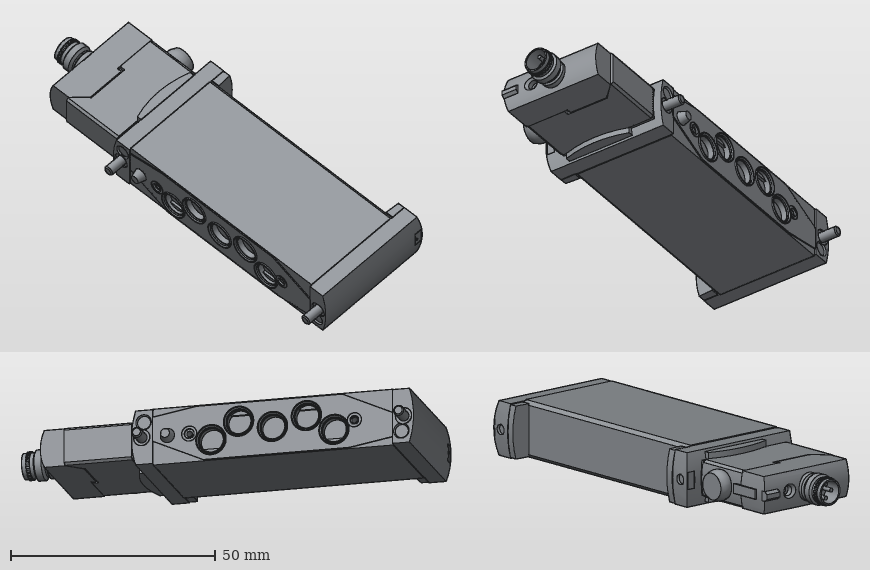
import cadquery as cq
import math


HOUSING_LEFT = 36.8
HOUSING_RIGHT = 97.8
HOUSING_HEIGHT = 14.4
HOUSING_HALF_Z = HOUSING_HEIGHT / 2
HOUSING_BOTTOM = 0.5
HOUSING_TOP = 29.5
HOUSING_CHAMFER = 0.9
MIDDLE_X = (HOUSING_LEFT + HOUSING_RIGHT) / 2

CAP_HALF_Z = 6.9
CAP_EDGE_WIDTH = 4.3
CAP_WIDTH = 5.4
CAP_EDGE_TOP = 33.6
CAP_TOP = 34.4
CAP_LEFT = HOUSING_LEFT - CAP_WIDTH
HOOK_HALF_Z = 6.7
HOOK_BOTTOM = HOUSING_TOP
HOOK_TOP = 34.6
HOOK_TOP_REACH = 2.0
HOOK_BOTTOM_REACH = 2.3
FACE_RECESS_DEPTH = 0.2
FACE_RECESS_BOTTOM = 31.9
FACE_RECESS_TOP = 34.1
FACE_RECESS_HALF_Z = 2.2
STOP_DIAMETER = 0.6
STOP_Y = 32.3
STOP_END = 103.2

SCREW_SPACING = 66.6
SCREW_OFFSET_X = SCREW_SPACING / 2
SCREW_DIAMETER = 2.6
SCREW_TIP = -4.6
SCREW_END = CAP_EDGE_TOP
SCREW_CHAMFER = 0.3
SCREW_RECESS_DIAMETER = 4.1
CAP_POCKET_DIAMETER = 3.9
CAP_POCKET_FLOOR_DIAMETER = 3.3
CAP_POCKET_X = 34.5
CAP_POCKET_Z = 3.8
CAP_POCKET_DEPTH = 0.4

COIL_HALF_Z = 4.7
COIL_BOTTOM = 1.9
COIL_EDGE_TOP = 29.5
COIL_TOP = 30.1
COIL_CHAMFER = 0.6
COIL_LEFT = 13.7
COIL_RIGHT = 30.9
NECK_INSET = 0.3

BOX_BOTTOM = 2.7
BOX_EDGE_LEFT = 8.5
BOX_LEFT = 7.4
PARTING_X = 16.3
STEP_X = 17.6
STEP_Y = 17.3
SLOPE_TOP_Y = 6.5
GAP = 0.3
STEP_GAP = 0.9
GROOVE_DEPTH = 0.9

LUG_HALF_Z = 6.3
LUG_BOTTOM = 9.1
LUG_TOP = 27.9
LUG_CREST_X = 29.3

BUTTON_X = 23.5
BUTTON_TOP = 33.2
BUTTON_ROOT = 28.5
BUTTON_BELLY_BOTTOM = 29.6
BUTTON_BELLY_TOP = 32.6
BUTTON_DIAMETER = 8.0
BUTTON_END_DIAMETER = 7.1
BUTTON_TIP_DIAMETER = 6.7

BAR_HALF_Z = 1.2
BAR_RIDGE_HALF_Z = 0.6
FRONT_BAR_X = 6.6
FRONT_BAR_BOTTOM = 25.9
BACK_BAR_LEFT = 10.5
BACK_BAR_RIGHT = 18.5
BACK_BAR_BOTTOM = 29.9
BACK_BAR_TOP = 30.6

LAMP_Y = 22.0
LAMP_DIAMETER = 3.9
LAMP_HOLE_DIAMETER = 2.5
LAMP_CONE_DEPTH = 0.7
LAMP_HOLE_DEPTH = 2.1
LAMP_PILOT_DIAMETER = 1.0
LAMP_PILOT_DEPTH = 3.1

PLUG_Y = 15.4
PLUG_DIAMETER = 6.5
PLUG_RING_DIAMETER = 7.1
PLUG_COLLAR_DIAMETER = 7.7
PLUG_NECK_DIAMETER = 6.2
PLUG_BORE_DIAMETER = 5.7
PLUG_BORE_DEPTH = 4.6
PLUG_ROOT = 8.8
COLLAR_FOOT = 3.0
COLLAR_START = 3.4
COLLAR_END = 5.2
NECK_START = 5.8
NECK_END = 6.2
ROOT_START = 6.6
KNURL_START = 1.1
KNURL_END = 2.1
KNURL_COUNT = 24
KNURL_SLOT = 0.4
CONTACT_DIAMETER = 1.0
CONTACT_CIRCLE_RADIUS = 1.8
CONTACT_TIP = 1.5
CONTACT_EMBEDDING = 1.0
CONTACT_ANGLES = (90, 180, 270)

SEAL_FACE = 0.2
SEAL_HALF_Z = 6.9
SEAL_END_LOW_Z = -1.1
SEAL_END_HIGH_Z = 5.1
SEAL_EDGE_LEFT = 47.7
SEAL_EDGE_RIGHT = 85.0
SMALL_LIP_FACE = 0.0
PORT_LIP_FACE = -0.2
PORT_LIP_DIAMETER = 7.6
PORT_LIP_BEVEL = 0.3
PORT_SEAL_DIAMETER = 6.5
PORT_DIAMETER = 6.0
PORT_DEPTH = 1.5
PORT_LEDGE_DEPTH = 0.8
PORT_LEDGE_OFFSET = 2.0
OUTER_PORT_SPACING = 31.3
INNER_PORT_SPACING = 17.2
OUTER_PORT_X = OUTER_PORT_SPACING / 2
INNER_PORT_X = INNER_PORT_SPACING / 2
PORT_Z = 2.1
PORTS = [
    (MIDDLE_X - OUTER_PORT_X, -PORT_Z, -1),
    (MIDDLE_X - INNER_PORT_X, PORT_Z, 1),
    (MIDDLE_X, 0, 0),
    (MIDDLE_X + INNER_PORT_X, PORT_Z, 1),
    (MIDDLE_X + OUTER_PORT_X, -PORT_Z, -1),
]
PILOT_HOLES = [
    (46.0, 3.8, 2.5, 1.4),
    (88.1, 3.6, 2.2, 1.5),
]
PILOT_DEPTH = 3.1

LOCATOR_X = 40.5
LOCATOR_BASE_DIAMETER = 3.6
LOCATOR_TIP_DIAMETER = 2.3
LOCATOR_TIP = -2.0


def box_between(x0, x1, y0, y1, z0, z1):
    """Rectangular block given by its limits on each axis."""
    return cq.Workplane("XY").box(x1 - x0, y1 - y0, z1 - z0, centered=False).translate((x0, y0, z0))


def plate(outline, half_z):
    """Outline in X and Y, extruded equally to both sides of the middle plane."""
    return cq.Workplane("XY").polyline(outline).close().extrude(half_z, both=True)


def rod_y(x, z, diameter, y0, y1):
    """Cylinder along Y between two heights."""
    return cq.Workplane("XZ", origin=(x, y0, z)).circle(diameter / 2).extrude(y0 - y1)


def rod_x(y, z, diameter, x0, x1):
    """Cylinder along X between two positions."""
    return cq.Workplane("YZ", origin=(x0, y, z)).circle(diameter / 2).extrude(x1 - x0)


def turned_y(x, profile):
    """Solid of revolution about a line along Y; the profile lists (radius, Y)."""
    axis_points = [(0, profile[0][1]), *profile, (0, profile[-1][1])]
    turned = cq.Workplane("XY").polyline(axis_points).close().revolve(360, (0, 0, 0), (0, 1, 0))
    return turned.translate((x, 0, 0))


def turned_x(y, profile):
    """Solid of revolution about a line along X; the profile lists (X, radius)."""
    axis_points = [(profile[0][0], 0), *profile, (profile[-1][0], 0)]
    turned = cq.Workplane("XY").polyline(axis_points).close().revolve(360, (0, 0, 0), (1, 0, 0))
    return turned.translate((0, y, 0))


def domed_section(half_z, bottom, edge_top, top, x0, x1):
    """Bar along X whose back face is an arc that rises from edge_top to top."""
    return (
        cq.Workplane("YZ", origin=(x0, 0, 0))
        .moveTo(bottom, -half_z)
        .lineTo(edge_top, -half_z)
        .threePointArc((top, 0), (edge_top, half_z))
        .lineTo(bottom, half_z)
        .close()
        .extrude(x1 - x0)
    )


def arc_ended_block(edge_left, left, right, half_z, y0, y1):
    """Block along Y whose left face is an arc that bulges from edge_left to left."""
    return (
        cq.Workplane("XZ", origin=(0, y0, 0))
        .moveTo(right, -half_z)
        .lineTo(edge_left, -half_z)
        .threePointArc((left, 0), (edge_left, half_z))
        .lineTo(right, half_z)
        .close()
        .extrude(y0 - y1)
    )


def half_turn(shape):
    """The shape turned half a revolution about the upright middle line of the housing."""
    return shape.rotate((MIDDLE_X, 0, 0), (MIDDLE_X, 1, 0), 180)


def make_housing():
    housing = box_between(
        HOUSING_LEFT, HOUSING_RIGHT, HOUSING_BOTTOM, HOUSING_TOP, -HOUSING_HALF_Z, HOUSING_HALF_Z
    )
    housing = housing.faces(">Y").edges("|X").chamfer(HOUSING_CHAMFER)
    for x, z, ledge_side in PORTS:
        bore = rod_y(x, z, PORT_DIAMETER, HOUSING_BOTTOM, HOUSING_BOTTOM + PORT_DEPTH)
        if ledge_side:
            ledge_z = z + ledge_side * PORT_LEDGE_OFFSET
            rim_z = z + ledge_side * PORT_DIAMETER
            ledge = box_between(
                x - PORT_DIAMETER,
                x + PORT_DIAMETER,
                HOUSING_BOTTOM + PORT_LEDGE_DEPTH,
                HOUSING_BOTTOM + PORT_DEPTH,
                min(ledge_z, rim_z),
                max(ledge_z, rim_z),
            )
            bore = bore.cut(ledge)
        housing = housing.cut(bore)
    for x, _, _, diameter in PILOT_HOLES:
        housing = housing.cut(rod_y(x, 0, diameter, HOUSING_BOTTOM, HOUSING_BOTTOM + PILOT_DEPTH))
    locator = turned_y(
        LOCATOR_X,
        [
            (LOCATOR_BASE_DIAMETER / 2, HOUSING_BOTTOM),
            (LOCATOR_BASE_DIAMETER / 2, SEAL_FACE),
            (LOCATOR_TIP_DIAMETER / 2, LOCATOR_TIP),
        ],
    )
    return housing.union(locator)


def make_end_cap():
    """Left end cap with its back hook, face recess, screw hole and tapered pocket."""
    cap = arc_ended_block(
        HOUSING_LEFT - CAP_EDGE_WIDTH, CAP_LEFT, HOUSING_LEFT, CAP_HALF_Z, 0, CAP_TOP
    )
    cap = cap.intersect(domed_section(CAP_HALF_Z, 0, CAP_EDGE_TOP, CAP_TOP, CAP_LEFT, HOUSING_LEFT))
    hook = plate(
        [
            (HOUSING_LEFT, HOOK_BOTTOM),
            (HOUSING_LEFT + HOOK_BOTTOM_REACH, HOOK_BOTTOM),
            (HOUSING_LEFT + HOOK_TOP_REACH, HOOK_TOP),
            (HOUSING_LEFT, HOOK_TOP),
        ],
        HOOK_HALF_Z,
    )
    hook_dome = domed_section(
        CAP_HALF_Z, 0, CAP_EDGE_TOP, HOOK_TOP, HOUSING_LEFT, HOUSING_LEFT + HOOK_BOTTOM_REACH
    )
    face_recess = box_between(
        CAP_LEFT,
        CAP_LEFT + FACE_RECESS_DEPTH,
        FACE_RECESS_BOTTOM,
        FACE_RECESS_TOP,
        -FACE_RECESS_HALF_Z,
        FACE_RECESS_HALF_Z,
    )
    pocket = turned_y(
        CAP_POCKET_X,
        [(CAP_POCKET_DIAMETER / 2, 0), (CAP_POCKET_FLOOR_DIAMETER / 2, CAP_POCKET_DEPTH)],
    )
    screw_x = MIDDLE_X - SCREW_OFFSET_X
    return (
        cap.union(hook.intersect(hook_dome))
        .cut(rod_y(screw_x, 0, SCREW_DIAMETER, 0, CAP_TOP))
        .cut(rod_y(screw_x, 0, SCREW_RECESS_DIAMETER, 0, CAP_POCKET_DEPTH))
        .cut(face_recess)
        .cut(pocket.translate((0, 0, CAP_POCKET_Z)))
    )


def parting_line(gap, step_gap):
    """Points from the sloped lower end to the upper end of the coil's parting line.

    The gaps move the line away from the coil.
    """
    return [
        (COIL_LEFT, BOX_BOTTOM),
        (STEP_X + GAP - gap, SLOPE_TOP_Y),
        (STEP_X + GAP - gap, STEP_Y + STEP_GAP - step_gap),
        (PARTING_X, STEP_Y + STEP_GAP - step_gap),
        (PARTING_X, COIL_TOP),
    ]


def make_coil():
    outline = [
        (COIL_LEFT, COIL_BOTTOM),
        *parting_line(0, 0),
        (COIL_RIGHT, COIL_TOP),
        (COIL_RIGHT, COIL_BOTTOM),
    ]
    section = domed_section(
        COIL_HALF_Z, COIL_BOTTOM, COIL_EDGE_TOP, COIL_TOP, COIL_LEFT, COIL_RIGHT
    )
    section = section.edges("|X").chamfer(COIL_CHAMFER)
    neck = domed_section(
        COIL_HALF_Z - NECK_INSET,
        COIL_BOTTOM + NECK_INSET,
        COIL_EDGE_TOP - NECK_INSET,
        COIL_TOP - NECK_INSET,
        COIL_RIGHT,
        HOUSING_LEFT - CAP_EDGE_WIDTH,
    )
    return plate(outline, COIL_HALF_Z).intersect(section).union(neck)


def make_lug():
    """Plate in front of the left cap with a bowed outer edge."""
    return (
        cq.Workplane("XY", origin=(0, 0, -LUG_HALF_Z))
        .moveTo(HOUSING_LEFT - CAP_EDGE_WIDTH, LUG_BOTTOM)
        .lineTo(COIL_RIGHT, LUG_BOTTOM)
        .threePointArc((LUG_CREST_X, (LUG_BOTTOM + LUG_TOP) / 2), (COIL_RIGHT, LUG_TOP))
        .lineTo(HOUSING_LEFT - CAP_EDGE_WIDTH, LUG_TOP)
        .close()
        .extrude(2 * LUG_HALF_Z)
    )


def make_button():
    """Round barrel-shaped button on the back of the coil."""
    end_radius = BUTTON_END_DIAMETER / 2
    belly_y = (BUTTON_BELLY_BOTTOM + BUTTON_BELLY_TOP) / 2
    return (
        cq.Workplane("XY")
        .moveTo(0, BUTTON_ROOT)
        .lineTo(end_radius, BUTTON_ROOT)
        .lineTo(end_radius, BUTTON_BELLY_BOTTOM)
        .threePointArc((BUTTON_DIAMETER / 2, belly_y), (end_radius, BUTTON_BELLY_TOP))
        .lineTo(BUTTON_TIP_DIAMETER / 2, BUTTON_TOP)
        .lineTo(0, BUTTON_TOP)
        .close()
        .revolve(360, (0, 0, 0), (0, 1, 0))
        .translate((BUTTON_X, 0, 0))
    )


def make_back_bar():
    """Snap bar that runs from the back of the electrical box onto the coil."""
    return box_between(
        BACK_BAR_LEFT, BACK_BAR_RIGHT, BACK_BAR_BOTTOM, BACK_BAR_TOP, -BAR_HALF_Z, BAR_HALF_Z
    )


def make_valve():
    cap = make_end_cap()
    end_stop = rod_x(STOP_Y, 0, STOP_DIAMETER, HOUSING_RIGHT + CAP_EDGE_WIDTH, STOP_END)
    coil_end = make_coil().union(make_button()).union(make_lug())
    valve = make_housing().union(cap).union(half_turn(cap)).union(end_stop).union(coil_end)
    return valve.cut(make_back_bar())


def make_plug():
    """Round plug along X with a knurled ring, a collar and three contacts in its bore."""
    plug = turned_x(
        PLUG_Y,
        [
            (0, PLUG_DIAMETER / 2),
            (KNURL_START, PLUG_DIAMETER / 2),
            (KNURL_START, PLUG_RING_DIAMETER / 2),
            (KNURL_END, PLUG_RING_DIAMETER / 2),
            (KNURL_END, PLUG_DIAMETER / 2),
            (COLLAR_FOOT, PLUG_DIAMETER / 2),
            (COLLAR_START, PLUG_COLLAR_DIAMETER / 2),
            (COLLAR_END, PLUG_COLLAR_DIAMETER / 2),
            (NECK_START, PLUG_NECK_DIAMETER / 2),
            (NECK_END, PLUG_NECK_DIAMETER / 2),
            (ROOT_START, PLUG_RING_DIAMETER / 2),
            (PLUG_ROOT, PLUG_RING_DIAMETER / 2),
        ],
    )
    slot = box_between(
        KNURL_START,
        KNURL_END,
        PLUG_Y + PLUG_DIAMETER / 2,
        PLUG_Y + PLUG_COLLAR_DIAMETER / 2,
        -KNURL_SLOT / 2,
        KNURL_SLOT / 2,
    )
    for i in range(KNURL_COUNT):
        plug = plug.cut(slot.rotate((0, PLUG_Y, 0), (1, PLUG_Y, 0), i * 360 / KNURL_COUNT))
    plug = plug.cut(rod_x(PLUG_Y, 0, PLUG_BORE_DIAMETER, 0, PLUG_BORE_DEPTH))
    for angle in CONTACT_ANGLES:
        y = PLUG_Y + CONTACT_CIRCLE_RADIUS * math.cos(math.radians(angle))
        z = CONTACT_CIRCLE_RADIUS * math.sin(math.radians(angle))
        plug = plug.union(rod_x(y, z, CONTACT_DIAMETER, CONTACT_TIP, PLUG_BORE_DEPTH + CONTACT_EMBEDDING))
    return plug


def make_front_bar():
    """Ridge with sloped flanks on the outer face of the electrical box."""
    return (
        cq.Workplane("XZ", origin=(0, FRONT_BAR_BOTTOM, 0))
        .polyline(
            [
                (BOX_EDGE_LEFT, -BAR_HALF_Z),
                (BOX_LEFT, -BAR_HALF_Z),
                (FRONT_BAR_X, -BAR_RIDGE_HALF_Z),
                (FRONT_BAR_X, BAR_RIDGE_HALF_Z),
                (BOX_LEFT, BAR_HALF_Z),
                (BOX_EDGE_LEFT, BAR_HALF_Z),
            ]
        )
        .close()
        .extrude(FRONT_BAR_BOTTOM - COIL_TOP)
    )


def make_electrical_box():
    outer_edges = [(BOX_LEFT, COIL_TOP), (BOX_LEFT, BOX_BOTTOM)]
    core = plate(outer_edges + parting_line(0, 0), COIL_HALF_Z - GROOVE_DEPTH)
    shell = plate(outer_edges + parting_line(GAP, STEP_GAP), COIL_HALF_Z)
    box_right = STEP_X + GAP
    lamp_recess = turned_x(
        LAMP_Y,
        [
            (BOX_LEFT, LAMP_DIAMETER / 2),
            (BOX_LEFT + LAMP_CONE_DEPTH, LAMP_HOLE_DIAMETER / 2),
            (BOX_LEFT + LAMP_HOLE_DEPTH, LAMP_HOLE_DIAMETER / 2),
            (BOX_LEFT + LAMP_HOLE_DEPTH, LAMP_PILOT_DIAMETER / 2),
            (BOX_LEFT + LAMP_PILOT_DEPTH, LAMP_PILOT_DIAMETER / 2),
        ],
    )
    return (
        shell.union(core)
        .intersect(domed_section(COIL_HALF_Z, BOX_BOTTOM, COIL_EDGE_TOP, COIL_TOP, BOX_LEFT, box_right))
        .intersect(arc_ended_block(BOX_EDGE_LEFT, BOX_LEFT, box_right, COIL_HALF_Z, BOX_BOTTOM, COIL_TOP))
        .cut(lamp_recess)
        .union(make_front_bar())
        .union(make_back_bar())
        .union(make_plug())
    )


def make_seal():
    half_outline = [
        (HOUSING_LEFT, SEAL_END_LOW_Z),
        (HOUSING_LEFT, SEAL_END_HIGH_Z),
        (SEAL_EDGE_LEFT, SEAL_HALF_Z),
        (SEAL_EDGE_RIGHT, SEAL_HALF_Z),
    ]
    outline = half_outline + [(2 * MIDDLE_X - x, -z) for x, z in half_outline]
    seal = (
        cq.Workplane("XZ", origin=(0, HOUSING_BOTTOM, 0))
        .polyline(outline)
        .close()
        .extrude(HOUSING_BOTTOM - SEAL_FACE)
    )
    lips = [(x, z, PORT_LIP_DIAMETER, PORT_SEAL_DIAMETER, PORT_LIP_FACE) for x, z, _ in PORTS]
    lips += [(x, 0, lip, hole, SMALL_LIP_FACE) for x, lip, hole, _ in PILOT_HOLES]
    for x, z, lip_diameter, _, face in lips:
        seal = seal.union(rod_y(x, z, lip_diameter, face, HOUSING_BOTTOM))
    for x, z, _, hole_diameter, face in lips:
        seal = seal.cut(rod_y(x, z, hole_diameter, face, HOUSING_BOTTOM))
    for x, z, _ in PORTS:
        radius = PORT_SEAL_DIAMETER / 2
        bevel = turned_y(
            x, [(radius + PORT_LIP_BEVEL, PORT_LIP_FACE), (radius, PORT_LIP_FACE + PORT_LIP_BEVEL)]
        )
        seal = seal.cut(bevel.translate((0, 0, z)))
    return seal.cut(rod_y(LOCATOR_X, 0, LOCATOR_BASE_DIAMETER, SEAL_FACE, HOUSING_BOTTOM))


def make_screw(x):
    screw = rod_y(x, 0, SCREW_DIAMETER, SCREW_TIP, SCREW_END)
    return screw.faces("<Y").chamfer(SCREW_CHAMFER)


valve = make_valve()
electrical_box = make_electrical_box()
seal = make_seal()
screws = [make_screw(MIDDLE_X + side * SCREW_OFFSET_X) for side in (-1, 1)]

result = cq.Compound.makeCompound(
    [valve.val(), electrical_box.val(), seal.val(), *[screw.val() for screw in screws]]
)